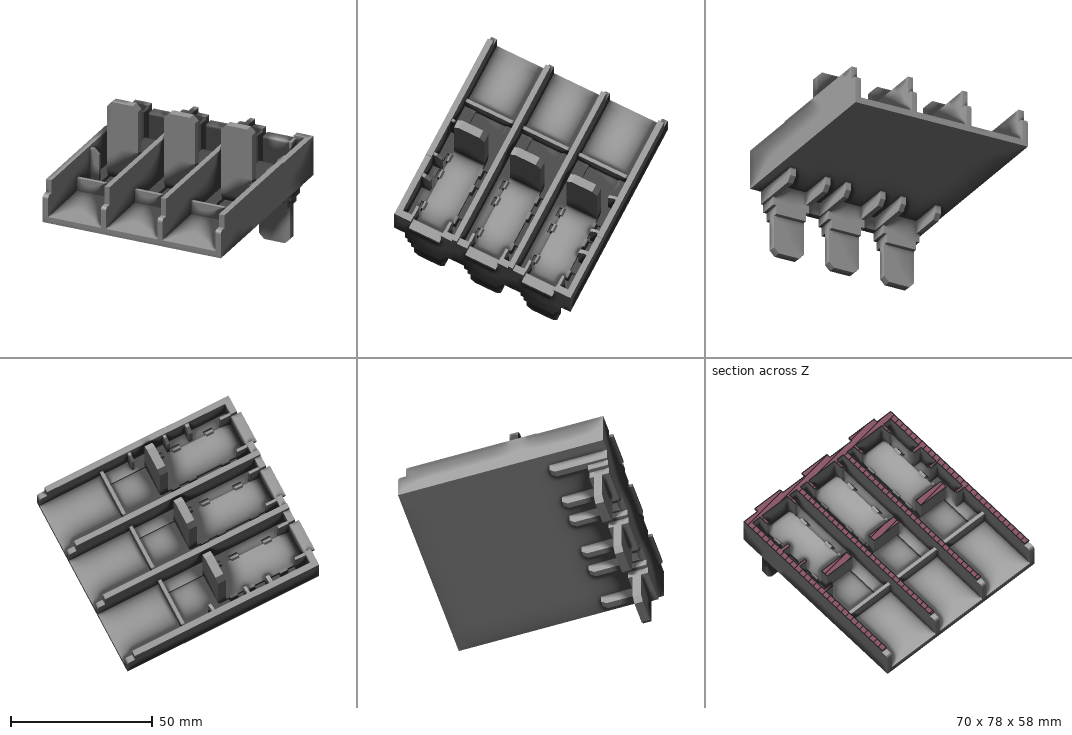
import cadquery as cq


tray_width = 70.0
tray_back = 76.45
floor_thickness = 2.4
side_thickness = 2.2
side_height = 15.6
divider_thickness = 1.95
divider_height = 17.4
divider_offset = 11.1
back_thickness = 2.5
back_height = 15.3
low_side_start = 51.5
nose_length = 3.0
nose_height = 10.6
nose_round_run = 0.9
nose_round_drop = 1.3
cross_rib_front = 23.95
cross_rib_thickness = 1.25
cross_rib_height = 7.5

bar_pitch = 22.4
bar_width = 12.1
bar_thickness = 3.1
bar_top = 31.9
bar_bottom = -26.1
bar_front = 39.5
bar_inner_radius = 0.8
bar_corner = 1.95
channel_floor = 1.1

window_height = 12.5
lip_length = 1.55
lip_thickness = 1.6
lip_edge_radius = 1.0
guide_front = 69.9
guide_thickness = 1.0
guide_height = 14.35
guide_draft = 0.2
socket_front = 69.1
socket_collar_depth = 8.2
socket_depth = 11.55
socket_inset = 0.1

skirt_depth = 5.1
skirt_front = 55.1
skirt_chamfer = 2.0

clip_centres = (45.6, 52.4, 65.5)
clip_length = 3.05
clip_pocket_length = 3.6
clip_pocket_width = 2.0
clip_root_thickness = 0.9
clip_tip_thickness = 0.6
clip_overhang = 0.7
clip_hook_rise = 0.7

fins = ((35.0, 1.1), (49.1, 1.1), (57.8, 1.4))
fin_width = 3.35
fin_height = 14.35
fin_flat = 1.2
fin_drop = 1.8

nose_radius = (nose_round_run**2 + nose_round_drop**2) / (2 * nose_round_run)
inner_x = tray_width / 2 - side_thickness
back_inner = tray_back - back_thickness
bar_half = bar_width / 2
bar_rear = back_inner
bar_outer_radius = bar_inner_radius + bar_thickness
bar_surface = channel_floor + bar_thickness
bar_centres = (-bar_pitch, 0, bar_pitch)


def block(x0, x1, y0, y1, z0, z1):
    """Box between two opposite corners."""
    return cq.Workplane("XY").box(x1 - x0, y1 - y0, z1 - z0, centered=False).translate((x0, y0, z0))


def long_wall(x0, thickness, height):
    """Wall running along Y with a stepped, rounded nose."""
    return (
        cq.Workplane("YZ", origin=(x0, 0, 0))
        .lineTo(tray_back, 0)
        .lineTo(tray_back, height)
        .lineTo(nose_length, height)
        .lineTo(nose_length, nose_height)
        .lineTo(nose_round_run, nose_height)
        .radiusArc((0, nose_height - nose_round_drop), -nose_radius)
        .close()
        .extrude(thickness)
    )


def make_tray():
    """Floor, side walls, dividers, back wall and low cross rib, with the busbar openings."""
    half = tray_width / 2
    tray = block(-half, half, 0, tray_back, 0, floor_thickness)
    tray = tray.union(block(-half, half, back_inner, tray_back, 0, back_height))
    for x in bar_centres:
        left, right = x - bar_half, x + bar_half
        tray = tray.cut(block(left, right, back_inner, tray_back, window_height, back_height))
        tray = tray.cut(
            block(left, right, cross_rib_front, back_inner, channel_floor, floor_thickness)
        )
    rib_rear = cross_rib_front + cross_rib_thickness
    tray = tray.union(block(-inner_x, inner_x, cross_rib_front, rib_rear, 0, cross_rib_height))
    for x0 in (-half, inner_x):
        low_stretch = block(
            x0, x0 + side_thickness, low_side_start, tray_back, back_height, side_height
        )
        tray = tray.union(long_wall(x0, side_thickness, side_height).cut(low_stretch))
    for x in (-divider_offset, divider_offset):
        x0 = x - divider_thickness / 2
        tray = tray.union(long_wall(x0, divider_thickness, divider_height))
    return tray


def make_lip():
    """Ledge above the rear window sill, rounded on its inner edge, for a bar centred on X = 0."""
    lip = block(
        -bar_half, bar_half, back_inner, tray_back + lip_length,
        window_height - lip_thickness, window_height,
    )
    return lip.faces("<Y").edges(">Z").fillet(lip_edge_radius)


def make_sill_cutter():
    """Removes the sharp inner edge of the rear window sill so the rounded lip can replace it."""
    return block(
        -bar_half, bar_half, back_inner, tray_back, window_height - lip_thickness, window_height
    )


def make_guide(side):
    """Upright plate beside the rear window, its outer face drafted; side is -1 or 1."""
    outer = bar_half + guide_thickness
    return (
        cq.Workplane("XZ", origin=(0, back_inner, 0))
        .moveTo(side * bar_half, 0)
        .lineTo(side * (outer + guide_draft), 0)
        .lineTo(side * outer, guide_height)
        .lineTo(side * bar_half, guide_height)
        .close()
        .extrude(back_inner - guide_front)
    )


def make_socket():
    """Two-step sleeve around the lower blade, which stands slightly proud of the narrow step."""
    half = bar_half + guide_thickness + guide_draft
    collar = block(-half, half, socket_front, tray_back, -socket_collar_depth, 0)
    sleeve_half = bar_half - socket_inset
    sleeve = block(-sleeve_half, sleeve_half, socket_front, tray_back, -socket_depth, 0)
    return collar.union(sleeve)


def skirt_wall(x0, x1):
    """Wall under the tray with a chamfered lower front corner."""
    wall = block(x0, x1, skirt_front, tray_back, -skirt_depth, 0)
    return wall.faces("<Y").edges("<Z").chamfer(skirt_chamfer)


def make_skirt():
    """Walls beside every busbar, joined by a plate along the back."""
    skirt = block(-bar_pitch, bar_pitch, back_inner, tray_back, -skirt_depth, 0)
    for x in bar_centres:
        left_thickness = side_thickness if x == bar_centres[0] else divider_thickness
        right_thickness = side_thickness if x == bar_centres[-1] else divider_thickness
        skirt = skirt.union(skirt_wall(x - bar_half - left_thickness, x - bar_half))
        skirt = skirt.union(skirt_wall(x + bar_half, x + bar_half + right_thickness))
    return skirt


def make_busbar():
    """Z-shaped strip: blade up at the front, flat along the channel, blade down at the rear."""
    front_inner = bar_front + bar_thickness
    rear_inner = bar_rear - bar_thickness
    bar = (
        cq.Workplane("YZ", origin=(-bar_half, 0, 0))
        .moveTo(bar_front, bar_top)
        .lineTo(front_inner, bar_top)
        .lineTo(front_inner, bar_surface + bar_inner_radius)
        .radiusArc((front_inner + bar_inner_radius, bar_surface), -bar_inner_radius)
        .lineTo(bar_rear - bar_outer_radius, bar_surface)
        .radiusArc((bar_rear, bar_surface - bar_outer_radius), bar_outer_radius)
        .lineTo(bar_rear, bar_bottom)
        .lineTo(rear_inner, bar_bottom)
        .lineTo(rear_inner, channel_floor - bar_inner_radius)
        .radiusArc((rear_inner - bar_inner_radius, channel_floor), -bar_inner_radius)
        .lineTo(bar_front + bar_outer_radius, channel_floor)
        .radiusArc((bar_front, channel_floor + bar_outer_radius), bar_outer_radius)
        .close()
        .extrude(bar_width)
    )
    blade_ends = bar.faces("<Z or >Z").edges("|Y")
    return blade_ends.chamfer(bar_corner)


def make_clip_pocket(y):
    """Pocket in the floor around the foot of the right-hand clip."""
    half = clip_pocket_length / 2
    outer = bar_half + clip_pocket_width
    return block(bar_half, outer, y - half, y + half, channel_floor, floor_thickness)


def make_clip(y):
    """Right-hand tapered post with a sloped hook over the busbar edge."""
    hook_top = bar_surface + clip_hook_rise
    return (
        cq.Workplane("XZ", origin=(0, y + clip_length / 2, 0))
        .moveTo(bar_half, channel_floor)
        .lineTo(bar_half + clip_root_thickness, channel_floor)
        .lineTo(bar_half + clip_tip_thickness, hook_top)
        .lineTo(bar_half, hook_top)
        .lineTo(bar_half - clip_overhang, bar_surface)
        .lineTo(bar_half, bar_surface)
        .close()
        .extrude(clip_length)
    )


def make_fin(y, thickness):
    """Upright fin on the left side wall with a sloped free corner."""
    tip = -inner_x + fin_width
    return (
        cq.Workplane("XZ", origin=(0, y + thickness, 0))
        .moveTo(-inner_x, 0)
        .lineTo(tip, 0)
        .lineTo(tip, fin_height - fin_drop)
        .lineTo(-inner_x + fin_flat, fin_height)
        .lineTo(-inner_x, fin_height)
        .close()
        .extrude(thickness)
    )


result = make_tray().union(make_skirt())

for x in bar_centres:
    place = (x, 0, 0)
    result = result.cut(make_sill_cutter().translate(place))
    result = result.union(make_lip().translate(place))
    result = result.union(make_socket().translate(place))
    for side in (-1, 1):
        result = result.union(make_guide(side).translate(place))
    for y in clip_centres:
        pocket = make_clip_pocket(y)
        result = result.cut(pocket.translate(place))
        result = result.cut(pocket.mirror("YZ").translate(place))
    result = result.union(make_busbar().translate(place))
    for y in clip_centres:
        clip = make_clip(y)
        result = result.union(clip.translate(place))
        result = result.union(clip.mirror("YZ").translate(place))

for y, thickness in fins:
    fin = make_fin(y, thickness)
    result = result.union(fin).union(fin.mirror("YZ"))